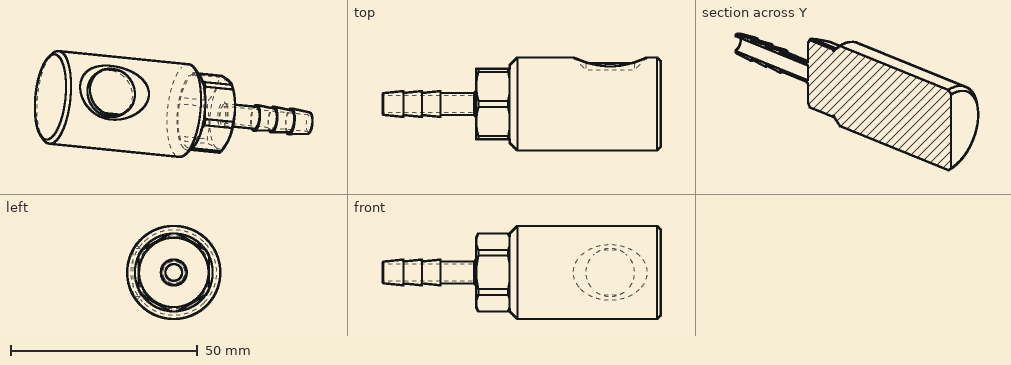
import cadquery as cq
import math

total_length = 74.5

shank_radius = 3.0
barb_radius = 3.5
barb_pitch = 5.0
barb_count = 3
tip_rounding = 0.5
bore_radius = 2.2
root_flare = 0.45

hex_start = 24.95
hex_length = 9.0
hex_across_flats = 19.0
hex_corner_radius = 10.5
hex_front_radius = 9.3
hex_front_bevel = 0.7
hex_back_bevel = 0.4
hex_end = hex_start + hex_length

body_radius = 12.5
body_front_bevel = 2.1
body_back_bevel = 1.05

button_x = 60.95
button_radius = 6.5
button_top = 10.95
recess_radius = 9.9


def revolve_about_x(outline):
    return cq.Workplane("XY").polyline(outline).close().revolve(360, (0, 0, 0), (1, 0, 0))


def make_hose_barb():
    arc_inset = tip_rounding * (1 - math.sqrt(0.5))
    outline = (
        cq.Workplane("XY")
        .lineTo(0, shank_radius - tip_rounding)
        .threePointArc((arc_inset, shank_radius - arc_inset), (tip_rounding, shank_radius))
    )
    for i in range(barb_count):
        barb_end = tip_rounding + (i + 1) * barb_pitch
        outline = outline.lineTo(barb_end, barb_radius).lineTo(barb_end, shank_radius)
    outline = (
        outline
        .lineTo(hex_start - root_flare, shank_radius)
        .lineTo(hex_start, shank_radius + root_flare)
        .lineTo(hex_start, 0)
        .close()
    )
    return outline.revolve(360, (0, 0, 0), (1, 0, 0))


def make_hex_nut():
    corner_diameter = hex_across_flats / math.cos(math.pi / 6)
    prism = (
        cq.Workplane("YZ", origin=(hex_start, 0, 0))
        .transformed(rotate=(0, 0, 30))
        .polygon(6, corner_diameter)
        .extrude(hex_length)
    )
    envelope = revolve_about_x([
        (hex_start, 0),
        (hex_start, hex_front_radius),
        (hex_start + hex_front_bevel, hex_corner_radius),
        (hex_end - hex_back_bevel, hex_corner_radius),
        (hex_end, hex_corner_radius - 2 * hex_back_bevel),
        (hex_end, 0),
    ])
    return prism.intersect(envelope)


def make_body():
    return revolve_about_x([
        (hex_end, 0),
        (hex_end, body_radius - body_front_bevel),
        (hex_end + body_front_bevel, body_radius),
        (total_length - body_back_bevel, body_radius),
        (total_length, body_radius - body_back_bevel),
        (total_length, 0),
    ])


def make_button_recess():
    recess_floor = body_radius - (recess_radius - button_radius)
    clearance = 0.75
    outer_radius = recess_radius + clearance
    outer_height = body_radius + clearance
    return (
        cq.Workplane("XY")
        .polyline([
            (button_x, button_top),
            (button_x + button_radius, button_top),
            (button_x + button_radius, recess_floor),
            (button_x + outer_radius, outer_height),
            (button_x, outer_height),
        ])
        .close()
        .revolve(360, (button_x, 0, 0), (button_x, 1, 0))
    )


def make_hose_bore():
    return cq.Workplane("YZ").circle(bore_radius).extrude(hex_start)


result = make_hose_barb().union(make_hex_nut()).union(make_body())
result = result.cut(make_button_recess()).cut(make_hose_bore())